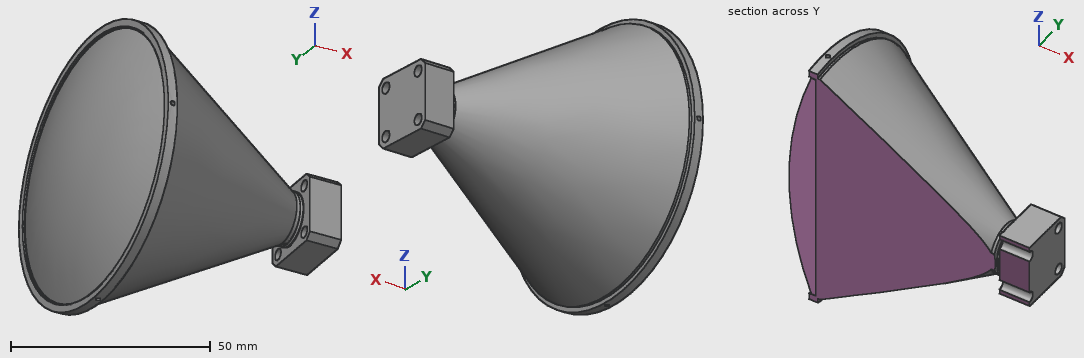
import cadquery as cq

RIM_FRONT = 6.3
LENS_EDGE = 6.8
SEAT_FLOOR = 8.3
RIM_BACK = 8.9
CONE_FRONT = 9.6
CONE_BACK = 60.7
BLOCK_FRONT = 63.1
BLOCK_BACK = 72.1

RIM_RADIUS = 37.85
LENS_RADIUS = 35.95
DOME_EDGE_RADIUS = 35.6
DOME_CURVATURE_RADIUS = (DOME_EDGE_RADIUS**2 + LENS_EDGE**2) / (2 * LENS_EDGE)
CONE_RADIUS = 36.55
NECK_RADIUS = 7.2
RIM_HOLE_DIAMETER = 1.2
RIM_HOLE_COUNT = 4

THREAD_START = 61.4
THREAD_PITCH = 0.96
THREAD_TURNS = 2
THREAD_DEPTH = 0.9
GROOVE_WIDTH = 0.8
GROOVE_OVERCUT = 0.1
THREAD_RUNOUT = THREAD_PITCH * 2

BLOCK_SIDE = 19.1
BLOCK_CHAMFER = 1.75
BOLT_SPACING = 13.25
BOLT_HOLE_DIAMETER = 3.0


def revolve_about_x(profile):
    return profile.close().revolve(360, (0, 0, 0), (1, 0, 0))


def make_lens():
    """Convex dome with a narrow flat land on a disc that fits the horn's seat."""
    mid_radius = DOME_EDGE_RADIUS / 2
    mid_x = DOME_CURVATURE_RADIUS - (DOME_CURVATURE_RADIUS**2 - mid_radius**2) ** 0.5
    return revolve_about_x(
        cq.Workplane("XY")
        .moveTo(0, 0)
        .threePointArc((mid_x, mid_radius), (LENS_EDGE, DOME_EDGE_RADIUS))
        .lineTo(LENS_EDGE, LENS_RADIUS)
        .lineTo(SEAT_FLOOR, LENS_RADIUS)
        .lineTo(SEAT_FLOOR, 0)
    )


def make_thread_groove():
    """V-shaped right-hand helical groove, starting on the -Z side of the neck."""
    outer_radius = NECK_RADIUS + GROOVE_OVERCUT
    helix = cq.Wire.makeHelix(THREAD_PITCH, THREAD_PITCH * THREAD_TURNS, NECK_RADIUS)
    groove = (
        cq.Workplane("XZ")
        .moveTo(outer_radius, -GROOVE_WIDTH / 2)
        .lineTo(NECK_RADIUS - THREAD_DEPTH, 0)
        .lineTo(outer_radius, GROOVE_WIDTH / 2)
        .close()
        .sweep(cq.Workplane(helix), isFrenet=True)
    )
    neck_frame = cq.Plane(origin=(THREAD_START, 0, 0), xDir=(0, 0, -1), normal=(1, 0, 0))
    return cq.Workplane(groove.val().moved(cq.Location(neck_frame)))


def make_rim_holes():
    """Radial holes through the rim wall, evenly spaced around the horn axis."""
    hole_x = (RIM_FRONT + RIM_BACK) / 2
    hole = (
        cq.Workplane("XY", origin=(hole_x, 0, LENS_RADIUS))
        .circle(RIM_HOLE_DIAMETER / 2)
        .extrude(RIM_RADIUS - LENS_RADIUS)
    )
    holes = cq.Workplane()
    for index in range(RIM_HOLE_COUNT):
        holes = holes.add(hole.rotate((0, 0, 0), (1, 0, 0), index * 360 / RIM_HOLE_COUNT))
    return holes.combine()


def make_horn():
    """Cone with a rim that seats the lens and a threaded neck.

    The neck is threaded over-long, then trimmed flush with the block face.
    """
    thread_end = BLOCK_FRONT + THREAD_RUNOUT
    body = revolve_about_x(
        cq.Workplane("XY")
        .moveTo(SEAT_FLOOR, 0)
        .lineTo(SEAT_FLOOR, LENS_RADIUS)
        .lineTo(RIM_FRONT, LENS_RADIUS)
        .lineTo(RIM_FRONT, RIM_RADIUS)
        .lineTo(RIM_BACK, RIM_RADIUS)
        .lineTo(RIM_BACK, CONE_RADIUS)
        .lineTo(CONE_FRONT, CONE_RADIUS)
        .lineTo(CONE_BACK, NECK_RADIUS)
        .lineTo(thread_end, NECK_RADIUS)
        .lineTo(thread_end, 0)
    )
    excess = (
        cq.Workplane("YZ", origin=(BLOCK_FRONT, 0, 0))
        .rect(BLOCK_SIDE, BLOCK_SIDE)
        .extrude(BLOCK_BACK - BLOCK_FRONT)
    )
    return body.cut(make_rim_holes()).cut(make_thread_groove()).cut(excess)


def make_block():
    """Square block with chamfered corners and four bolt holes along X."""
    return (
        cq.Workplane("YZ", origin=(BLOCK_FRONT, 0, 0))
        .rect(BLOCK_SIDE, BLOCK_SIDE)
        .extrude(BLOCK_BACK - BLOCK_FRONT)
        .edges("|X")
        .chamfer(BLOCK_CHAMFER)
        .faces(">X")
        .workplane(origin=(0, 0, 0))
        .rect(BOLT_SPACING, BOLT_SPACING, forConstruction=True)
        .vertices()
        .hole(BOLT_HOLE_DIAMETER)
    )


lens = make_lens()
horn = make_horn()
block = make_block()

result = cq.Compound.makeCompound([lens.val(), *horn.solids().vals(), block.val()])